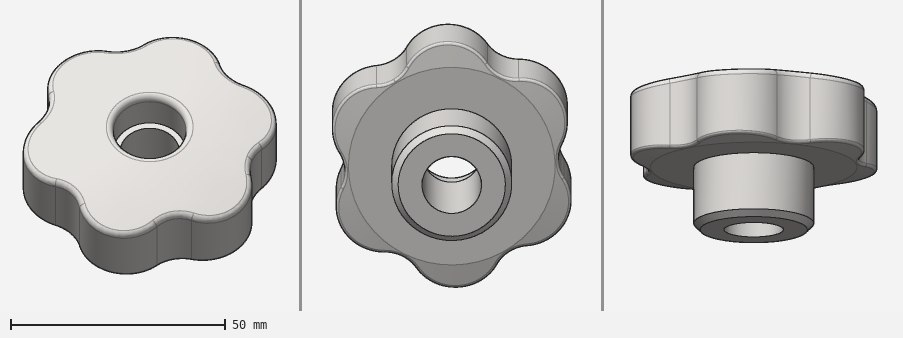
import cadquery as cq
import math

lobe_count = 6
knob_radius = 30.0
knob_height = 34.55
stem_height = 15.0
stem_radius = 28.0 / 2
stem_chamfer = 1.5

lobe_radius = 11.0
valley_radius = 8.4

dome_radius = 119.95
flat_radius = 24.1
underside_angle = 8.0
top_fillet = 1.5
bottom_fillet = 0.7

bore_radius = 13.85 / 2
counterbore_radius = 17.0 / 2
counterbore_floor = 24.85
rim_fillet = 1.5

rim_crest_radius = counterbore_radius + rim_fillet
rim_center_height = knob_height - rim_fillet
dome_center_height = rim_center_height - math.sqrt((dome_radius - rim_fillet) ** 2 - rim_crest_radius**2)


def polar(radius, angle):
    return radius * math.cos(angle), radius * math.sin(angle)


def point_between(start, end, distance):
    """Point on the line from start to end, at the given distance from start."""
    ratio = distance / math.dist(start, end)
    return tuple(a + ratio * (b - a) for a, b in zip(start, end))


def lobed_prism():
    half_pitch = math.pi / lobe_count
    lobe_center_radius = knob_radius - lobe_radius
    offset = lobe_center_radius * math.sin(half_pitch)
    valley_center_radius = lobe_center_radius * math.cos(half_pitch) + math.sqrt(
        (lobe_radius + valley_radius) ** 2 - offset**2
    )
    outline = None
    for index in range(lobe_count):
        lobe_angle = math.pi / 2 + index * 2 * half_pitch
        lobe_center = polar(lobe_center_radius, lobe_angle)
        valley_before = polar(valley_center_radius, lobe_angle - half_pitch)
        valley_after = polar(valley_center_radius, lobe_angle + half_pitch)
        next_lobe = polar(lobe_center_radius, lobe_angle + 2 * half_pitch)
        lobe_start = point_between(lobe_center, valley_before, lobe_radius)
        lobe_end = point_between(lobe_center, valley_after, lobe_radius)
        valley_end = point_between(next_lobe, valley_after, lobe_radius)
        valley_bottom = polar(valley_center_radius - valley_radius, lobe_angle + half_pitch)
        if outline is None:
            outline = cq.Workplane("XY").moveTo(*lobe_start)
        outline = outline.threePointArc(polar(knob_radius, lobe_angle), lobe_end)
        outline = outline.threePointArc(valley_bottom, valley_end)
    return outline.close().extrude(knob_height + rim_fillet)


def domed_disc():
    """Turned body wider than the lobes: dome on top, flat and cone underneath."""
    outer_radius = knob_radius + lobe_radius

    def dome_height(radius):
        return dome_center_height + math.sqrt(dome_radius**2 - radius**2)

    cone_rise = (outer_radius - flat_radius) * math.tan(math.radians(underside_angle))
    middle = outer_radius / 2
    return (
        cq.Workplane("XZ")
        .moveTo(0, stem_height)
        .lineTo(flat_radius, stem_height)
        .lineTo(outer_radius, stem_height + cone_rise)
        .lineTo(outer_radius, dome_height(outer_radius))
        .threePointArc((middle, dome_height(middle)), (0, dome_height(0)))
        .close()
        .revolve(360, (0, 0), (0, 1))
    )


def head():
    body = lobed_prism().intersect(domed_disc())
    body = body.faces("%SPHERE").edges("not %CIRCLE").fillet(top_fillet)
    return body.faces("%CONE").edges("not %CIRCLE").fillet(bottom_fillet)


def stem():
    shaft = cq.Workplane("XY").circle(stem_radius).extrude(stem_height)
    return shaft.faces("<Z").edges().chamfer(stem_chamfer)


def stepped_bore():
    """Turned cutter: through bore, counterbore and a rounded rim tangent to the dome."""
    rim_center = (rim_crest_radius, rim_center_height)
    dome_tilt = math.asin(rim_crest_radius / (dome_radius - rim_fillet))

    def rim_point(tilt):
        return (
            rim_center[0] + rim_fillet * math.sin(tilt),
            rim_center[1] + rim_fillet * math.cos(tilt),
        )

    rim_end = rim_point(dome_tilt)
    rim_middle = rim_point((dome_tilt - math.pi / 2) / 2)
    cutter_top = knob_height + rim_fillet
    return (
        cq.Workplane("XZ")
        .lineTo(bore_radius, 0)
        .lineTo(bore_radius, counterbore_floor)
        .lineTo(counterbore_radius, counterbore_floor)
        .lineTo(counterbore_radius, rim_center_height)
        .threePointArc(rim_middle, rim_end)
        .lineTo(rim_end[0], cutter_top)
        .lineTo(0, cutter_top)
        .close()
        .revolve(360, (0, 0), (0, 1))
    )


result = head().union(stem()).cut(stepped_bore())